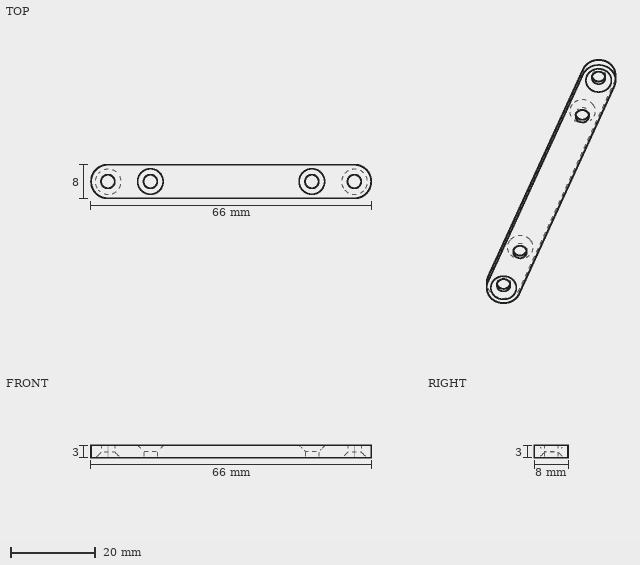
import cadquery as cq

length = 66.0
width = 8.0
thickness = 3.0

hole_diameter = 3.2
countersink_diameter = 6.0
countersink_angle = 90.0
inner_hole_x = 19.0
end_hole_x = (length - width) / 2


def drill_countersunk_pair(body, face, hole_x):
    """Drill countersunk through holes at +/- hole_x from the chosen face."""
    return (
        body.faces(face).workplane(centerOption="ProjectedOrigin", origin=(0, 0, 0))
        .pushPoints([(-hole_x, 0), (hole_x, 0)])
        .cskHole(hole_diameter, countersink_diameter, countersink_angle)
    )


bar = cq.Workplane("XY").slot2D(length, width).extrude(thickness)
bar = drill_countersunk_pair(bar, ">Z", inner_hole_x)
result = drill_countersunk_pair(bar, "<Z", end_hole_x)